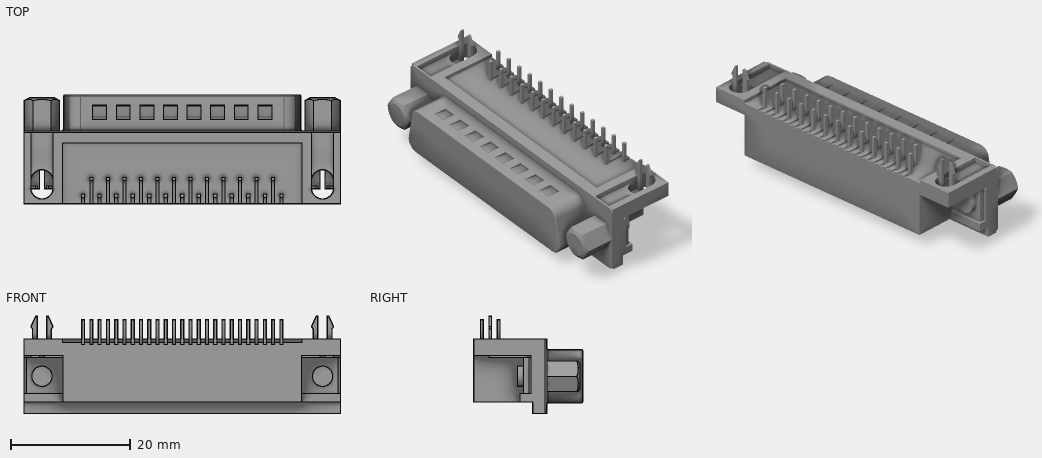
import cadquery as cq
import math

LENGTH = 53.05
FLANGE_HEIGHT = 12.5
FLANGE_BACK = 9.85
FLANGE_FRONT = 11.95
BLOCK_WIDTH = 39.9
BLOCK_BOTTOM = 1.9
DECK_BOTTOM = 9.7
SHELF_TOP = 3.35
SHELF_BACK = 7.8
POCKET_FRONT = 9.6
CHANNEL_DEPTH = 1.0

RECESS_WIDTH = 40.05
RECESS_DEPTH = 0.65
RECESS_LENGTH = 10.25
TAIL_COUNT = 25
TAIL_SPAN = 33.2
TAIL_PITCH = TAIL_SPAN / (TAIL_COUNT - 1)
TAIL_SIZE = 0.55
GROOVE_FLOOR = 11.6
TAIL_TOP = 15.75
REAR_ROW_Y = 1.4
FRONT_ROW_Y = 4.2

PLATE_THICKNESS = 0.3
PLATE_FRONT = FLANGE_FRONT + PLATE_THICKNESS
PLATE_CORNER = 0.8
SHELL_FRONT = 18.3
SHELL_WIDTH = 39.8
SHELL_HEIGHT = 8.95
SHELL_CORNER = 1.95
SHELL_SLANT = 10.0
SHELL_EDGE = 0.3
FOOT_FILLET = 0.25
SELECT_MARGIN = 0.1
MID_Z = FLANGE_HEIGHT / 2

DIMPLE_COUNT = 8
DIMPLE_SPAN = 27.7
DIMPLE_PITCH = DIMPLE_SPAN / (DIMPLE_COUNT - 1)
DIMPLE_WIDTH = 2.35
DIMPLE_BACK = 14.15
DIMPLE_DEEPEST = 14.55
DIMPLE_LIP = 16.4
DIMPLE_FRONT = 16.55
DIMPLE_DEPTH = 0.4
LIP_DEPTH = 0.1

SCREW_X = 23.5
HEX_FLATS = 5.15
HEX_FRONT = 17.8
HEX_FACE_RADIUS = 2.05
HEX_SIDES = 6
HEX_CHAMFER_ANGLE = 30.0
SCREW_RADIUS = 1.7
SCREW_BACK = 7.3
NUT_BACK = 8.35
NUT_SIDE = 26.1

SHEET = 0.345
PRONG_THICKNESS = 0.5
PRONG_BACK = 2.55
HOLE_RADIUS = 1.85
HOLE_BACK = 0.85
HOLE_FRONT = 5.75
SLOT_WIDTH = 0.8
PRONG_GAP = 1.55
PRONG_INNER = PRONG_GAP / 2
PRONG_TIP = 1.05
PRONG_OUTER = 1.6
PRONG_BARB = 1.85
PRONG_TOP = 16.35
BARB_Z = 14.6
BARB_SHOULDER_Z = 14.15


def box(x0, x1, y0, y1, z0, z1):
    """Box between two corners, with x0 and x1 in either order."""
    low = min(x0, x1)
    return cq.Workplane("XY").box(abs(x1 - x0), y1 - y0, z1 - z0, centered=False).translate((low, y0, z0))


def cylinder_y(x, z, radius, y0, y1):
    """Cylinder along Y."""
    return cq.Workplane("XZ", origin=(x, y0, z)).circle(radius).extrude(y0 - y1)


def tail_place(index):
    """X and Y of a contact tail; the tails alternate between the two rows."""
    x = (index - (TAIL_COUNT - 1) / 2) * TAIL_PITCH
    y = REAR_ROW_Y if index % 2 == 0 else FRONT_ROW_Y
    return x, y


def contact_tail(index):
    """Square upright standing on the floor of its groove."""
    x, y = tail_place(index)
    half = TAIL_SIZE / 2
    return box(x - half, x + half, y - half, y + half, GROOVE_FLOOR, TAIL_TOP)


def tail_groove(index):
    """Groove in the recess floor, as wide as a tail, running from the rear face to the tail's far side."""
    x, y = tail_place(index)
    half = TAIL_SIZE / 2
    return box(x - half, x + half, 0, y + half, GROOVE_FLOOR, FLANGE_HEIGHT)


def lock_openings():
    """Obround hole through the deck and the channel leading to it from the flange, on both sides."""
    hole_length = HOLE_FRONT - HOLE_BACK
    hole_y = (HOLE_FRONT + HOLE_BACK) / 2
    openings = (
        cq.Workplane("XY", origin=(0, hole_y, DECK_BOTTOM))
        .pushPoints([(-SCREW_X, 0), (SCREW_X, 0)])
        .slot2D(hole_length, 2 * HOLE_RADIUS, 90)
        .extrude(FLANGE_HEIGHT - DECK_BOTTOM)
    )
    for x in (-SCREW_X, SCREW_X):
        channel = box(x - HOLE_RADIUS, x + HOLE_RADIUS, hole_y, FLANGE_FRONT,
                      FLANGE_HEIGHT - CHANNEL_DEPTH, FLANGE_HEIGHT)
        openings = openings.union(channel)
    return openings


def make_housing():
    half = LENGTH / 2
    block_half = BLOCK_WIDTH / 2
    body = box(-half, half, FLANGE_BACK, FLANGE_FRONT, 0, FLANGE_HEIGHT)
    body = body.union(box(-half, half, 0, FLANGE_BACK, BLOCK_BOTTOM, FLANGE_HEIGHT))
    for side in (-1, 1):
        body = body.cut(box(side * half, side * block_half, 0, POCKET_FRONT, SHELF_TOP, DECK_BOTTOM))
        body = body.cut(box(side * half, side * block_half, 0, SHELF_BACK, BLOCK_BOTTOM, SHELF_TOP))
        body = body.cut(cylinder_y(side * SCREW_X, MID_Z, SCREW_RADIUS, POCKET_FRONT, FLANGE_FRONT))
    body = body.cut(lock_openings())
    body = body.cut(box(-RECESS_WIDTH / 2, RECESS_WIDTH / 2, 0, RECESS_LENGTH,
                        FLANGE_HEIGHT - RECESS_DEPTH, FLANGE_HEIGHT))
    for index in range(TAIL_COUNT):
        body = body.cut(tail_groove(index)).union(contact_tail(index))
    return body


def shell_profile():
    """Corners of the D outline, narrower at the top, before rounding."""
    slant = math.radians(SHELL_SLANT)
    corner_overhang = SHELL_CORNER * (math.tan(math.radians(45) + slant / 2) - 1)
    bottom_half = SHELL_WIDTH / 2 + corner_overhang
    top_half = bottom_half - SHELL_HEIGHT * math.tan(slant)
    low = MID_Z - SHELL_HEIGHT / 2
    high = MID_Z + SHELL_HEIGHT / 2
    return [(-bottom_half, low), (bottom_half, low), (top_half, high), (-top_half, high)]


def make_shell():
    """Solid D shell with a rounded front rim, dimpled along its top."""
    shell = cq.Workplane("XZ", origin=(0, PLATE_FRONT, 0)).polyline(shell_profile()).close()
    shell = shell.extrude(PLATE_FRONT - SHELL_FRONT).edges("|Y").fillet(SHELL_CORNER)
    shell = shell.faces(">Y").edges().fillet(SHELL_EDGE)
    top = MID_Z + SHELL_HEIGHT / 2
    wedge = (
        cq.Workplane("YZ", origin=(-DIMPLE_WIDTH / 2, 0, 0))
        .polyline([(DIMPLE_BACK, top), (DIMPLE_BACK, top - DIMPLE_DEPTH),
                   (DIMPLE_DEEPEST, top - DIMPLE_DEPTH),
                   (DIMPLE_LIP, top - LIP_DEPTH), (DIMPLE_FRONT, top)])
        .close()
        .extrude(DIMPLE_WIDTH)
    )
    for index in range(DIMPLE_COUNT):
        x = (index - (DIMPLE_COUNT - 1) / 2) * DIMPLE_PITCH
        shell = shell.cut(wedge.translate((x, 0, 0)))
    return shell


def make_face_plate():
    """Rounded front plate and shell, joined by a small fillet around the shell's foot."""
    plate = (
        box(-LENGTH / 2, LENGTH / 2, FLANGE_FRONT, PLATE_FRONT, 0, FLANGE_HEIGHT)
        .edges("|Y")
        .fillet(PLATE_CORNER)
    )
    joined = plate.union(make_shell())
    reach = SHELL_WIDTH / 2 + SELECT_MARGIN
    rise = SHELL_HEIGHT / 2 + SELECT_MARGIN
    foot_slab = cq.selectors.BoxSelector(
        (-reach, PLATE_FRONT - SELECT_MARGIN, MID_Z - rise),
        (reach, PLATE_FRONT + SELECT_MARGIN, MID_Z + rise),
    )
    return joined.edges(foot_slab).fillet(FOOT_FILLET)


def make_jack_screw(x):
    """Hexagonal post with a chamfered end, and the screw running back through the flange."""
    hex_diameter = HEX_FLATS / math.cos(math.pi / HEX_SIDES)
    hex_post = (
        cq.Workplane("XZ", origin=(x, PLATE_FRONT, MID_Z))
        .polygon(HEX_SIDES, hex_diameter)
        .extrude(PLATE_FRONT - HEX_FRONT)
    )
    cone_slope = math.tan(math.radians(HEX_CHAMFER_ANGLE))
    base_radius = HEX_FACE_RADIUS + (HEX_FRONT - PLATE_FRONT) / cone_slope
    cone = cq.Workplane(
        cq.Solid.makeCone(base_radius, HEX_FACE_RADIUS, HEX_FRONT - PLATE_FRONT,
                          cq.Vector(x, PLATE_FRONT, MID_Z), cq.Vector(0, 1, 0))
    )
    screw = cylinder_y(x, MID_Z, SCREW_RADIUS, SCREW_BACK, PLATE_FRONT)
    return hex_post.intersect(cone).union(screw)


def make_prong(x, side):
    """Barbed prong, with its barb on the given side of the hole's middle."""
    points = [
        (PRONG_INNER, DECK_BOTTOM - SHEET),
        (PRONG_OUTER, DECK_BOTTOM - SHEET),
        (PRONG_OUTER, BARB_SHOULDER_Z),
        (PRONG_BARB, BARB_Z),
        (PRONG_TIP, PRONG_TOP),
        (PRONG_INNER, PRONG_TOP),
    ]
    outline = [(x + side * u, z) for u, z in points]
    return (
        cq.Workplane("XZ", origin=(0, PRONG_BACK, 0))
        .polyline(outline)
        .close()
        .extrude(-PRONG_THICKNESS)
    )


def make_bracket(side):
    """Square nut, the upright sheet in front of it, a slotted leg below the deck, and two prongs."""
    x = side * SCREW_X
    inner = side * BLOCK_WIDTH / 2
    outer = side * NUT_SIDE
    leg_bottom = DECK_BOTTOM - SHEET
    sheet_back = POCKET_FRONT - SHEET
    nut = box(inner, outer, NUT_BACK, sheet_back, SHELF_TOP, leg_bottom)
    upright = box(inner, side * LENGTH / 2, sheet_back, POCKET_FRONT, SHELF_TOP, leg_bottom)
    leg = box(inner, side * (SCREW_X + HOLE_RADIUS), PRONG_BACK, POCKET_FRONT, leg_bottom, DECK_BOTTOM)
    slot = box(x - SLOT_WIDTH / 2, x + SLOT_WIDTH / 2, PRONG_BACK, HOLE_FRONT, leg_bottom, DECK_BOTTOM)
    bracket = nut.union(upright).union(leg.cut(slot))
    for prong_side in (-1, 1):
        bracket = bracket.union(make_prong(x, prong_side))
    return bracket


def make_metalwork():
    """Plate, shell, jack screws and board-lock brackets as one body."""
    metal = make_face_plate()
    for side in (-1, 1):
        metal = metal.union(make_jack_screw(side * SCREW_X)).union(make_bracket(side))
    return metal


housing = make_housing()
metalwork = make_metalwork()
result = cq.Compound.makeCompound([housing.val(), metalwork.val()])